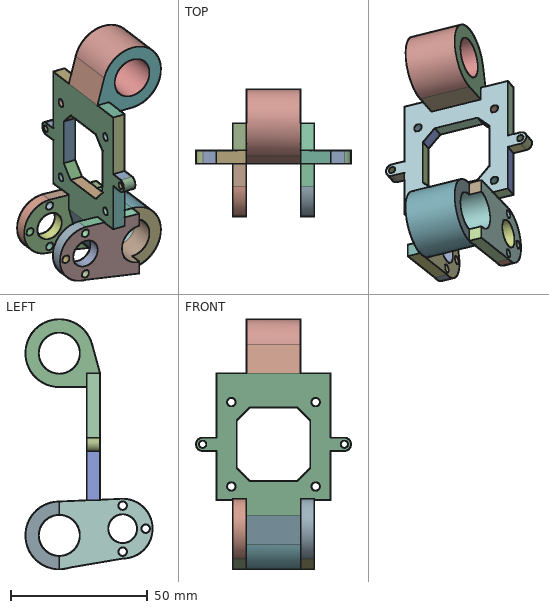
import cadquery as cq
import math

total_height = 92.0
thickness = 5.0

plate_width = 41.95
plate_bottom = -20.5
neck_reach = 26.1
window_size = 27.0
window_chamfer = 4.8
mount_pitch = 31.0
mount_hole_diameter = 3.0

lug_span = 57.0
lug_height = 5.0
lug_hole_diameter = 2.6

barrel_radius = 12.5
barrel_bore = 15.0
barrel_width = 20.0
barrel_y = 15.0
barrel_z = total_height / 2 - barrel_radius

ear_span = 30.0
ear_radius = 11.0
ear_y = -8.3
ear_z = -31.0
ear_bore = 10.5
ear_hole_diameter = 3.0
ear_hole_circle_radius = 8.5


def plate():
    """Flat plate with an octagonal window and four mounting holes."""
    height = neck_reach - plate_bottom
    middle_z = (neck_reach + plate_bottom) / 2
    body = cq.Workplane("XY").box(plate_width, thickness, height).translate((0, thickness / 2, middle_z))
    window = cq.Workplane("XY").box(window_size, 2 * thickness, window_size).edges("|Y").chamfer(window_chamfer)
    holes = (
        cq.Workplane("XZ")
        .rect(mount_pitch, mount_pitch, forConstruction=True)
        .vertices()
        .circle(mount_hole_diameter / 2)
        .extrude(2 * thickness, both=True)
    )
    return body.cut(window.translate((0, thickness / 2, 0))).cut(holes)


def side_lug(side):
    """Round-ended lug with an eye, on the left (-1) or right (+1) edge."""
    eye_x = side * (lug_span - lug_height) / 2
    root_x = side * plate_width / 2
    arm = (
        cq.Workplane("XZ")
        .center((eye_x + root_x) / 2, 0)
        .rect(abs(eye_x - root_x), lug_height)
        .extrude(-thickness)
    )
    tip = cq.Workplane("XZ").center(eye_x, 0).circle(lug_height / 2).extrude(-thickness)
    eye = cq.Workplane("XZ").center(eye_x, 0).circle(lug_hole_diameter / 2).extrude(-thickness)
    return arm.union(tip).cut(eye)


def upper_barrel():
    """Bearing barrel blended into the plate by a flat tangent to its front."""
    rise = barrel_z - neck_reach
    corner_distance = math.hypot(barrel_y, rise)
    corner_angle = math.pi + math.atan2(rise, barrel_y)
    tangent_angle = corner_angle - math.acos(barrel_radius / corner_distance)
    tangent_point = (
        barrel_y + barrel_radius * math.cos(tangent_angle),
        barrel_z + barrel_radius * math.sin(tangent_angle),
    )
    underside_z = barrel_z - barrel_radius
    web_outline = [
        (barrel_y, barrel_z),
        (barrel_y, underside_z),
        (0, underside_z),
        (0, neck_reach),
        tangent_point,
    ]
    web = cq.Workplane("YZ").polyline(web_outline).close().extrude(barrel_width / 2, both=True)
    drum = cq.Workplane("YZ").center(barrel_y, barrel_z).circle(barrel_radius)
    drum = drum.extrude(barrel_width / 2, both=True)
    return web.union(drum)


def lower_neck():
    """Strip carrying the plate down to the lower barrel."""
    strip_height = neck_reach + plate_bottom
    middle_z = (plate_bottom - neck_reach) / 2
    strip = cq.Workplane("XY").box(barrel_width, thickness, strip_height)
    return strip.translate((0, thickness / 2, middle_z))


def ear(side):
    """Forward-reaching ear beside the lower barrel, with a bore and three holes."""
    inner_x = barrel_width / 2
    ear_thickness = ear_span / 2 - inner_x
    outline = (
        cq.Workplane("YZ", origin=(side * inner_x, 0, 0))
        .moveTo(barrel_y, -barrel_z + barrel_radius)
        .lineTo(ear_y, ear_z + ear_radius)
        .threePointArc((ear_y - ear_radius, ear_z), (ear_y, ear_z - ear_radius))
        .lineTo(barrel_y, -barrel_z - barrel_radius)
        .close()
        .extrude(side * ear_thickness)
    )
    hole_points = [
        (ear_y, ear_z + ear_hole_circle_radius),
        (ear_y - ear_hole_circle_radius, ear_z),
        (ear_y, ear_z - ear_hole_circle_radius),
    ]
    small_holes = (
        cq.Workplane("YZ")
        .pushPoints(hole_points)
        .circle(ear_hole_diameter / 2)
        .extrude(plate_width / 2, both=True)
    )
    bore = cq.Workplane("YZ").center(ear_y, ear_z).circle(ear_bore / 2).extrude(plate_width / 2, both=True)
    return outline.cut(small_holes).cut(bore)


top_barrel = upper_barrel()
result = plate().union(top_barrel).union(top_barrel.mirror("XY")).union(lower_neck())
for side in (-1, 1):
    result = result.union(side_lug(side)).union(ear(side))

for bore_z in (barrel_z, -barrel_z):
    bearing_bore = (
        cq.Workplane("YZ")
        .center(barrel_y, bore_z)
        .circle(barrel_bore / 2)
        .extrude(plate_width / 2, both=True)
    )
    result = result.cut(bearing_bore)